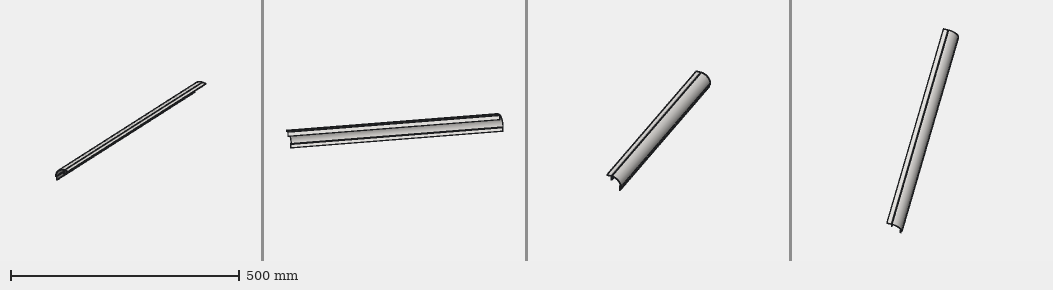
import cadquery as cq
import math

length = 490.0
width = 35.0
height = 33.0
wall = 1.8
outer_radius = 25.0
leg_inset = 3.0
rib_depth = 11.5
rib_inset = 0.5

inner_radius = outer_radius - wall
flange_end = width - outer_radius
rib_right = -rib_inset
rib_left = rib_right - wall
leg_bottom = outer_radius - height
leg_outer = leg_inset - outer_radius
leg_inner = leg_outer + wall
rib_bottom = outer_radius - rib_depth
diagonal = math.sqrt(0.5)

ledge_top = wall
arc_start_x = -math.sqrt(inner_radius**2 - ledge_top**2)

section = (
    cq.Workplane("XZ", origin=(0, length / 2, 0))
    .moveTo(-outer_radius, 0)
    .threePointArc((-outer_radius * diagonal, outer_radius * diagonal), (0, outer_radius))
    .lineTo(flange_end, outer_radius)
    .lineTo(flange_end, inner_radius)
    .lineTo(0, inner_radius)
    .radiusArc((rib_right, math.sqrt(inner_radius**2 - rib_right**2)), -inner_radius)
    .lineTo(rib_right, rib_bottom)
    .lineTo(rib_left, rib_bottom)
    .lineTo(rib_left, math.sqrt(inner_radius**2 - rib_left**2))
    .threePointArc((-inner_radius * diagonal, inner_radius * diagonal), (arc_start_x, ledge_top))
    .lineTo(leg_inner, ledge_top)
    .lineTo(leg_inner, leg_bottom)
    .lineTo(leg_outer, leg_bottom)
    .lineTo(leg_outer, 0)
    .close()
)

result = section.extrude(length)